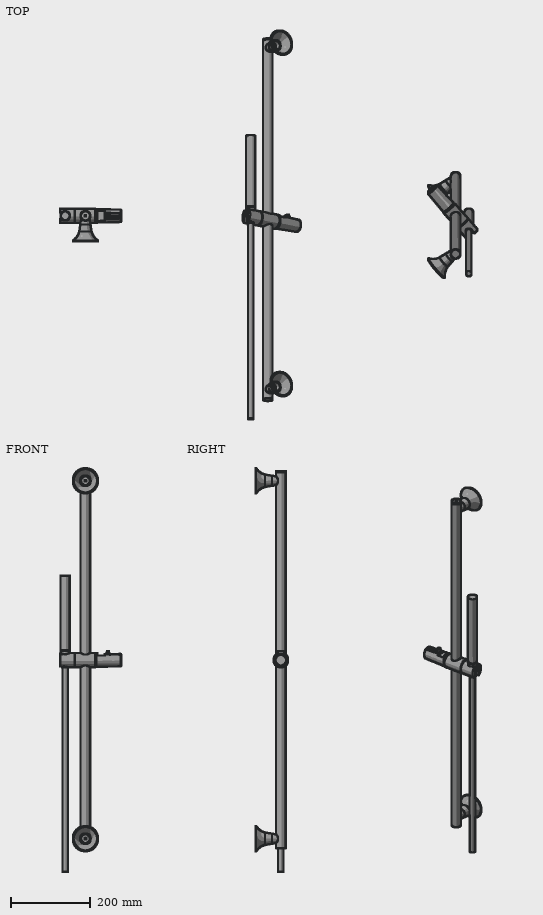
import cadquery as cq

overall_depth = 83.0
overall_height = 1019.67

rail_radius = 12.5
bracket_spacing = 904.0
rail_overhang = 25.0
rail_edge_chamfer = 1.0
cap_thickness = 3.0
cap_seam_width = 0.8
cap_seam_depth = 0.5
cap_socket_radius = 2.0
cap_socket_depth = 2.0

slider_radius = 18.5
slider_height = 451.0
slider_left = -64.0
seam_x = -27.5
seam_width = 1.0
seam_depth = 1.0

knob_groove_left = 24.5
knob_groove_width = 3.0
knob_groove_depth = 1.5
knob_left = knob_groove_left + knob_groove_width
knob_start_radius = 17.5
knob_end_radius = 16.0
knob_right = 91.0
knob_edge_chamfer = 2.5

flat_left = 31.0
flat_right = 86.0
flat_height = 12.0
button_left = 51.0
button_right = 63.0
button_slope = 4.0
button_width = 14.0
button_top = 22.5
rib_count = 4
rib_pitch = 6.0
rib_radius = rib_pitch / 2
rib_left = 48.0

wall_y = slider_radius - overall_depth
flange_radius = 32.0
flange_thickness = 2.0
neck_start_radius = 9.5
neck_end_radius = 16.0
neck_end_y = -40.0
flare_middle_radius = 22.0
flare_middle_y = -53.0
wall_thickness = 2.5
bore_radius = 11.0
bore_floor_y = -22.0
screw_radius = 2.5
screw_floor_y = -14.0

shower_x = -51.0
wand_radius = 12.0
wand_bottom = 474.5
wand_length = 190.0
wand_edge_chamfer = 1.5
hose_radius = 7.25
nut_end_radius = 8.5
nut_bottom = slider_height - slider_radius
hose_bottom = bracket_spacing + flange_radius - overall_height
slot_width = 16.0


def upright_rod(radius, x, bottom, top):
    """Round rod along Z."""
    return cq.Workplane("XY", origin=(x, 0, bottom)).circle(radius).extrude(top - bottom)


def slider_rod(radius, left, right):
    """Round rod along the slider axis."""
    return cq.Workplane("YZ", origin=(left, 0, slider_height)).circle(radius).extrude(right - left)


def slider_groove(left, width, depth):
    """Ring to cut a groove of the given depth around the slider."""
    core = slider_rod(slider_radius - depth, left, left + width)
    return slider_rod(slider_radius, left, left + width).cut(core)


def slider_block(left, right, width, bottom, top):
    """Block on the slider, with bottom and top measured up from the slider axis."""
    block = cq.Workplane("XY").box(right - left, width, top - bottom, centered=(False, True, False))
    return block.translate((left, 0, slider_height + bottom))


def bracket(height):
    """Trumpet-shaped wall bracket: solid neck, hollow flare, stepped screw bore."""
    profile = (
        cq.Workplane("XY")
        .lineTo(neck_start_radius, 0)
        .lineTo(neck_end_radius, neck_end_y)
        .threePointArc((flare_middle_radius, flare_middle_y), (flange_radius, wall_y + flange_thickness))
        .lineTo(flange_radius, wall_y)
        .lineTo(flange_radius - wall_thickness, wall_y)
        .threePointArc(
            (flare_middle_radius - wall_thickness, flare_middle_y - wall_thickness / 2),
            (neck_end_radius - wall_thickness, neck_end_y),
        )
        .lineTo(bore_radius, neck_end_y)
        .lineTo(bore_radius, bore_floor_y)
        .lineTo(screw_radius, bore_floor_y)
        .lineTo(screw_radius, screw_floor_y)
        .lineTo(0, screw_floor_y)
        .close()
    )
    return profile.revolve(360, (0, 0, 0), (0, 1, 0)).translate((0, 0, height))


def make_rail():
    """Rail with its two wall brackets."""
    rail_top = bracket_spacing + rail_overhang
    rail = upright_rod(rail_radius, 0, -rail_overhang, rail_top)
    rail = rail.faces("|Z").edges().chamfer(rail_edge_chamfer)
    for height in (0, bracket_spacing):
        rail = rail.union(bracket(height))
    seam_top = rail_top - cap_thickness
    seam_bottom = seam_top - cap_seam_width
    seam_core = upright_rod(rail_radius - cap_seam_depth, 0, seam_bottom, seam_top)
    rail = rail.cut(upright_rod(rail_radius, 0, seam_bottom, seam_top).cut(seam_core))
    return rail.cut(upright_rod(cap_socket_radius, 0, rail_top - cap_socket_depth, rail_top))


def make_hose():
    """Hose with the conical nut that sits in the slider."""
    nut = (
        cq.Workplane("XY", origin=(shower_x, 0, nut_bottom))
        .circle(nut_end_radius)
        .workplane(offset=wand_bottom - nut_bottom)
        .circle(wand_radius)
        .loft()
    )
    return nut.union(upright_rod(hose_radius, shower_x, hose_bottom, nut_bottom))


def make_wand():
    """Stick-shaped hand shower standing on the hose nut."""
    wand = upright_rod(wand_radius, shower_x, wand_bottom, wand_bottom + wand_length)
    return wand.faces("<Z").edges().chamfer(wand_edge_chamfer)


def make_knob():
    """Tapered knob with a ribbed flat and a button on top."""
    blank = (
        cq.Workplane("YZ", origin=(knob_left, 0, slider_height))
        .circle(knob_start_radius)
        .workplane(offset=knob_right - knob_left)
        .circle(knob_end_radius)
        .loft()
        .faces(">X").edges().chamfer(knob_edge_chamfer)
    )
    flat_cut = slider_block(flat_left, flat_right, 2 * slider_radius, flat_height, slider_radius)
    knob = blank.cut(flat_cut)
    for index in range(rib_count):
        y = (index - (rib_count - 1) / 2) * rib_pitch
        rib = slider_rod(rib_radius, rib_left, flat_right).translate((0, y, flat_height))
        knob = knob.union(rib.intersect(blank))
    button = (
        cq.Workplane("XZ", origin=(0, button_width / 2, slider_height))
        .moveTo(button_left, 0)
        .lineTo(button_left, flat_height)
        .lineTo(button_left + button_slope, button_top)
        .lineTo(button_right - button_slope, button_top)
        .lineTo(button_right, flat_height)
        .lineTo(button_right, 0)
        .close()
        .extrude(button_width)
    )
    return knob.union(button)


def make_slider(hose):
    """Slider with rail hole, slotted hand-shower holder and knob."""
    slider = slider_rod(slider_radius, slider_left, knob_left)
    slider = slider.cut(slider_groove(seam_x, seam_width, seam_depth))
    slider = slider.cut(slider_groove(knob_groove_left, knob_groove_width, knob_groove_depth))
    slider = slider.union(make_knob())
    slider_bottom = slider_height - slider_radius
    slider_top = slider_height + slider_radius
    slider = slider.cut(upright_rod(rail_radius, 0, slider_bottom, slider_top))
    slot = slider_block(slider_left, shower_x, slot_width, -slider_radius, slider_radius)
    return slider.cut(slot).cut(hose)


rail = make_rail()
hose = make_hose()
wand = make_wand()
slider = make_slider(hose)

result = cq.Compound.makeCompound([rail.val(), slider.val(), wand.val(), hose.val()])